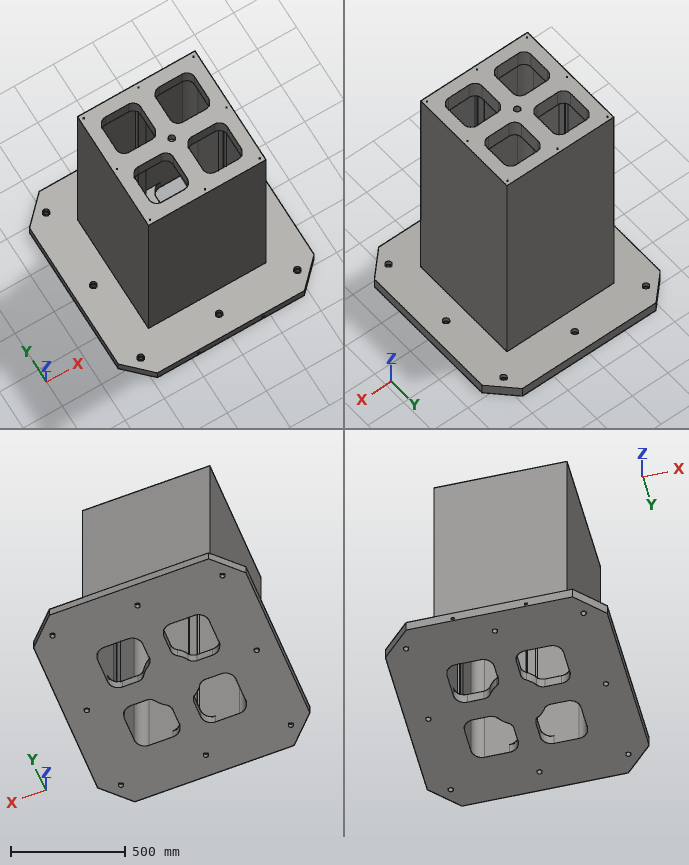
import cadquery as cq
import math

total_height = 1250.0
base_side = 1000.0
base_thickness = 55.0
base_corner_cut = 125.0
column_side = 600.0

wall = 38.0
cavity_side = column_side - 2 * wall
cavity_corner_radius = 50.0
top_plate_thickness = 90.0
wall_rib_width = 38.0
wall_rib_depth = 12.0
wall_rib_bevel = 8.0

window_inner = 40.0
window_outer = 235.0
window_corner_radius = 40.0
window_side = window_outer - window_inner
window_pitch = window_inner + window_outer

cross_width = 100.0
hub_radius = 125.0
hub_fillet_radius = window_corner_radius

center_hole_diameter = 31.0
center_hole_depth = 50.0
drill_point_angle = 118.0

pin_hole_diameter = 5.0
pin_hole_depth = 19.0
pin_hole_offset = 280.0

mount_offset = 400.0
mount_hole_diameter = 22.0
mount_bore_diameter = 32.0
mount_bore_depth = 22.0

edge_hole_diameter = 14.0
edge_hole_depth = 38.0
edge_hole_offset = 165.0
edge_hole_height = 18.0


def eight_around(offset):
    """Corner and mid-side points of a square centred on the axis."""
    steps = (-offset, 0, offset)
    return [(x, y) for x in steps for y in steps if (x, y) != (0, 0)]


def make_base():
    return (
        cq.Workplane("XY")
        .rect(base_side, base_side)
        .extrude(base_thickness)
        .edges("|Z")
        .chamfer(base_corner_cut)
    )


def make_column():
    return cq.Workplane("XY").rect(column_side, column_side).extrude(total_height)


def make_cavity():
    """Space inside the column above the base, less a shallow bevelled rib along each wall."""
    height = total_height - top_plate_thickness - base_thickness
    cavity = (
        cq.Workplane("XY")
        .workplane(offset=base_thickness)
        .rect(cavity_side, cavity_side)
        .extrude(height)
        .edges("|Z")
        .fillet(cavity_corner_radius)
    )
    half_side = cavity_side / 2
    half_rib = wall_rib_width / 2
    flare = half_rib + wall_rib_bevel
    rib_top = half_side - wall_rib_depth
    bevel_end = half_side - wall_rib_bevel
    rib = (
        cq.Workplane("XY")
        .workplane(offset=base_thickness)
        .moveTo(half_side, -flare)
        .lineTo(bevel_end, -half_rib)
        .lineTo(rib_top, -half_rib)
        .lineTo(rib_top, half_rib)
        .lineTo(bevel_end, half_rib)
        .lineTo(half_side, flare)
        .close()
        .extrude(height)
    )
    for angle in range(0, 360, 90):
        cavity = cavity.cut(rib.rotate((0, 0, 0), (0, 0, 1), angle))
    return cavity


def make_base_openings():
    """Four openings through the base, rounded where they meet the hub between them."""
    inner = cross_width / 2
    outer = cavity_side / 2
    side = outer - inner
    hub = cq.Workplane("XY").circle(hub_radius).extrude(base_thickness)
    openings = (
        cq.Workplane("XY")
        .rarray(inner + outer, inner + outer, 2, 2)
        .rect(side, side)
        .extrude(base_thickness)
        .edges("|Z")
        .fillet(cavity_corner_radius)
        .cut(hub)
    )
    joints = cq.selectors.BoxSelector(
        (-hub_radius, -hub_radius, 0), (hub_radius, hub_radius, base_thickness)
    )
    return openings.edges("|Z").edges(joints).fillet(hub_fillet_radius)


def make_windows():
    return (
        cq.Workplane("XY")
        .workplane(offset=total_height - top_plate_thickness)
        .rarray(window_pitch, window_pitch, 2, 2)
        .rect(window_side, window_side)
        .extrude(top_plate_thickness)
        .edges("|Z")
        .fillet(window_corner_radius)
    )


def make_center_hole():
    radius = center_hole_diameter / 2
    point_depth = radius / math.tan(math.radians(drill_point_angle / 2))
    floor = total_height - center_hole_depth
    return (
        cq.Workplane("XZ")
        .moveTo(0, total_height)
        .lineTo(radius, total_height)
        .lineTo(radius, floor)
        .lineTo(0, floor - point_depth)
        .close()
        .revolve(360, (0, 0, 0), (0, 1, 0))
    )


def make_pin_holes():
    return (
        cq.Workplane("XY")
        .workplane(offset=total_height - pin_hole_depth)
        .pushPoints(eight_around(pin_hole_offset))
        .circle(pin_hole_diameter / 2)
        .extrude(pin_hole_depth)
    )


def make_mount_holes():
    points = eight_around(mount_offset)
    holes = (
        cq.Workplane("XY")
        .pushPoints(points)
        .circle(mount_hole_diameter / 2)
        .extrude(base_thickness)
    )
    bores = (
        cq.Workplane("XY")
        .workplane(offset=base_thickness - mount_bore_depth)
        .pushPoints(points)
        .circle(mount_bore_diameter / 2)
        .extrude(mount_bore_depth)
    )
    return holes.union(bores)


def make_edge_holes():
    return (
        cq.Workplane("XZ", origin=(0, -base_side / 2, 0))
        .pushPoints([(side * edge_hole_offset, edge_hole_height) for side in (-1, 1)])
        .circle(edge_hole_diameter / 2)
        .extrude(-edge_hole_depth)
    )


result = (
    make_base()
    .union(make_column())
    .cut(make_cavity())
    .cut(make_base_openings())
    .cut(make_windows())
    .cut(make_center_hole())
    .cut(make_pin_holes())
    .cut(make_mount_holes())
    .cut(make_edge_holes())
)